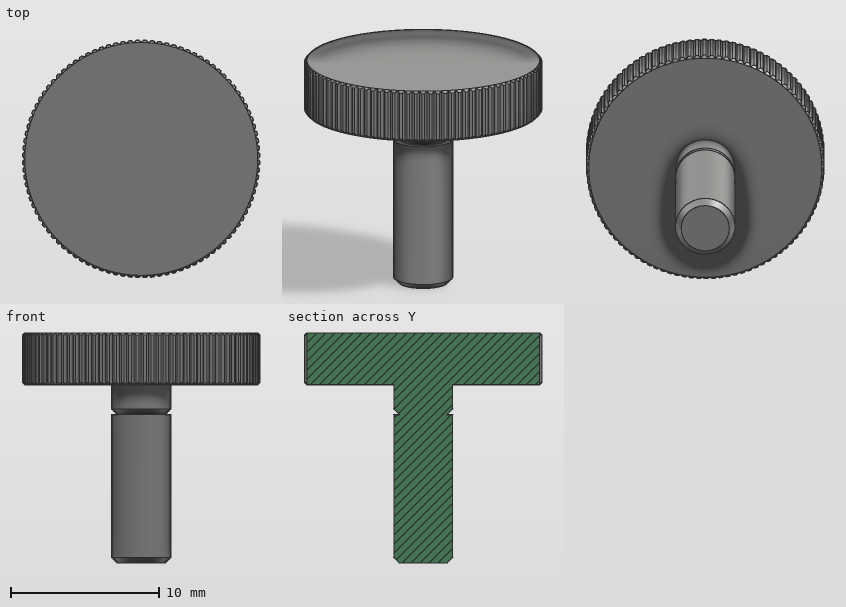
import cadquery as cq
import math

head_diameter = 16.0
head_height = 3.5
head_chamfer = 0.16
head_radius = head_diameter / 2

tooth_count = 100
groove_depth = head_chamfer
groove_flank_angle = 45.0
groove_overshoot = 0.1

overall_length = 15.5
shank_diameter = 4.0
shank_radius = shank_diameter / 2
thread_length = 10.0
end_chamfer = 0.38
relief_depth = end_chamfer

head_bottom = overall_length - head_height
relief_top = thread_length + relief_depth


def make_head():
    """Chamfered disc that carries the knurl."""
    disc = cq.Workplane("XY").workplane(offset=head_bottom).circle(head_radius).extrude(head_height)
    return disc.edges().chamfer(head_chamfer)


def make_groove_cutters():
    """Full-height V-shaped cutters, evenly spaced around the rim."""
    root_radius = head_radius - groove_depth
    outer_radius = head_radius + groove_overshoot
    half_width = (outer_radius - root_radius) * math.tan(math.radians(groove_flank_angle))
    cutter = (
        cq.Workplane("XY")
        .workplane(offset=head_bottom)
        .moveTo(root_radius, 0)
        .lineTo(outer_radius, half_width)
        .lineTo(outer_radius, -half_width)
        .close()
        .extrude(head_height)
        .val()
    )
    pitch_angle = 360.0 / tooth_count
    axis_start = cq.Vector(0, 0, 0)
    axis_end = cq.Vector(0, 0, 1)
    cutters = [cutter.rotate(axis_start, axis_end, i * pitch_angle) for i in range(tooth_count)]
    return cq.Compound.makeCompound(cutters)


def make_shank():
    """Turned shank: chamfered tip, thread cylinder, tapered relief and collar."""
    tip_radius = shank_radius - end_chamfer
    relief_radius = shank_radius - relief_depth
    return (
        cq.Workplane("XZ")
        .moveTo(0, 0)
        .lineTo(tip_radius, 0)
        .lineTo(shank_radius, end_chamfer)
        .lineTo(shank_radius, thread_length)
        .lineTo(relief_radius, thread_length)
        .lineTo(shank_radius, relief_top)
        .lineTo(shank_radius, head_bottom)
        .lineTo(0, head_bottom)
        .close()
        .revolve(360, (0, 0, 0), (0, 1, 0))
    )


knurled_head = make_head().cut(cq.Workplane(make_groove_cutters()))
result = knurled_head.union(make_shank()).solids()